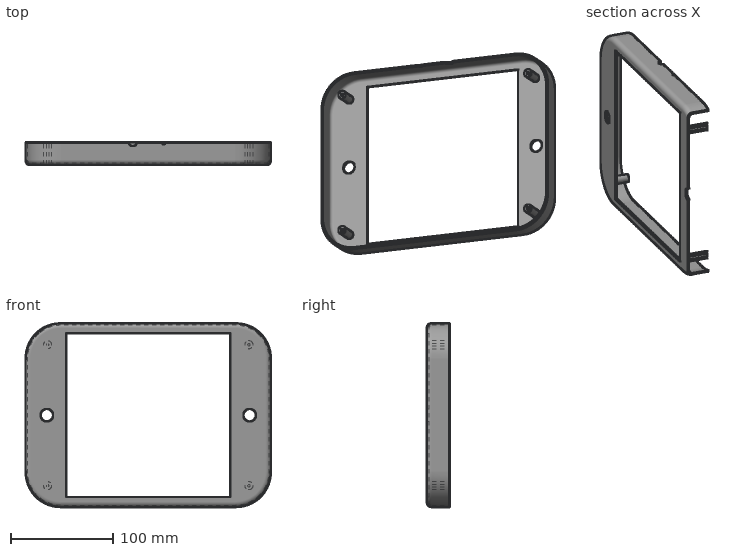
import cadquery as cq

width = 240.0
depth = 22.5
height = 180.0
corner_radius = 34.8
front_fillet = 5.0
rear_chamfer = 0.7
wall = 2.0
plate_thickness = 2.2

window_side = 159.8
screw_hole_diameter = 12.0
screw_hole_x = 99.0

boss_diameter = 8.0
boss_bore = 2.5
boss_x = 98.5
boss_z = 69.0
boss_end_inset = 1.2

cable_notch_diameter = 8.0
small_notch_diameter = 3.0
small_notch_inset = 0.7
notch_x = 15.0

front_y = -depth / 2
rear_y = depth / 2
plate_back_y = front_y + plate_thickness


def plane_at(y):
    """XZ work plane at the given Y, with extrusion toward the rear (+Y)."""
    return cq.Workplane(cq.Plane(origin=(0, y, 0), xDir=(-1, 0, 0), normal=(0, 1, 0)))


def shell():
    """Rounded tray, open at the rear, with a softened front edge."""
    body = plane_at(front_y).rect(width, height).extrude(depth)
    body = body.edges("|Y").fillet(corner_radius)
    body = body.faces("<Y").edges().fillet(front_fillet)
    body = body.faces(">Y").edges().chamfer(rear_chamfer)
    cavity = plane_at(plate_back_y).rect(width - 2 * wall, height - 2 * wall).extrude(depth)
    cavity = cavity.edges("|Y").fillet(corner_radius - wall)
    cavity = cavity.faces("<Y").edges().fillet(front_fillet - wall)
    return body.cut(cavity)


def plate_openings():
    """Square window and the screw hole on either side of it."""
    window = plane_at(front_y).rect(window_side, window_side).extrude(depth)
    holes = (
        plane_at(front_y)
        .pushPoints([(-screw_hole_x, 0), (screw_hole_x, 0)])
        .circle(screw_hole_diameter / 2)
        .extrude(depth)
    )
    return window.union(holes)


def bosses():
    """Four tubes standing on the back of the front plate."""
    length = rear_y - boss_end_inset - plate_back_y
    return (
        plane_at(plate_back_y)
        .rect(2 * boss_x, 2 * boss_z, forConstruction=True)
        .vertices()
        .circle(boss_diameter / 2)
        .circle(boss_bore / 2)
        .extrude(length)
    )


def rear_notch(x, diameter, inset=0):
    """Vertical cylinder that cuts the rear edge of the top wall."""
    return cq.Workplane("XY").center(x, rear_y - inset).circle(diameter / 2).extrude(height)


result = shell().cut(plate_openings()).union(bosses())
result = result.cut(rear_notch(-notch_x, cable_notch_diameter))
result = result.cut(rear_notch(notch_x, small_notch_diameter, small_notch_inset))